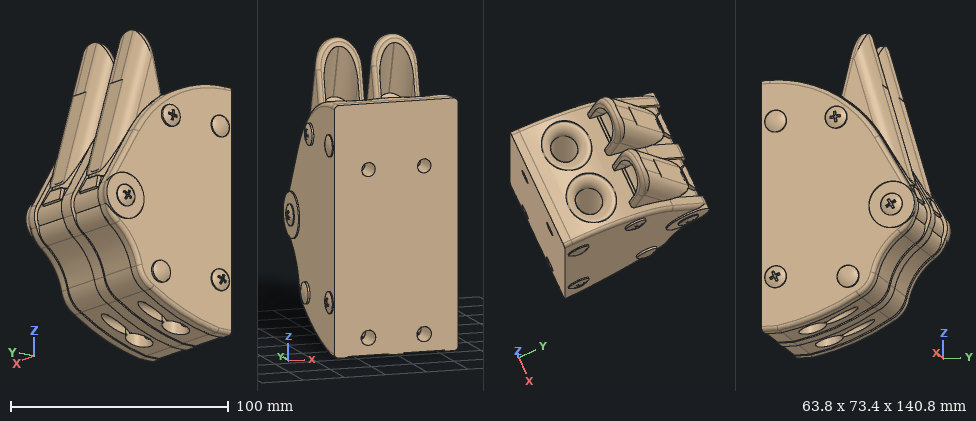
import cadquery as cq
import math

BODY_WIDTH = 60.0
TOP_ARC_RADIUS = 60.0
TOP_ARC_Y = 4.0
BODY_HEIGHT = 118.4
PIVOT_Y = 62.4
PIVOT_Z = 55.6
PIVOT_LOBE_RADIUS = 11.0
LOBE_EXIT_ANGLE = -28.0
BOTTOM_FLAT = 7.7
NECK_MID = (70.2, 46.2)
NECK_END = (66.2, 42.2)
WAIST_MID = (58.3, 34.0)
WAIST_END = (54.0, 24.0)
HEEL_MID = (51.5, 18.4)
HEEL_END = (46.2, 14.1)
BELLY_MID = (27.2, 5.1)
SIDE_DRAFT = 0.9
EDGE_RADIUS = 2.0

LANE_X = 13.5
CHANNEL_WIDTH = 19.9
CHANNEL_TOP_Y = 40.4
CHANNEL_DEPTH = 1.8
CHANNEL_LOWER_DEPTH = 0.5

LEVER_WIDTH = 22.5
LEVER_CORNER_RADIUS = 8.0
LEVER_TOP = 140.83
TIP_ARCH_HEIGHT = 14.0
LEVER_WALL = 3.1
LEVER_CROWN_WALL = 5.1
MIN_HALF_FLAT = 0.1
LEVER_DEPTH = 24.0
LEVER_TILT = 16.3
LEVER_FOOT_Y = 68.7
LEVER_FOOT_Z = 67.0
LEVER_LENGTH = 90.0
RIM_TILT = 13.8
RIM_Y = 43.15
RIM_Z = 138.3
RIM_RADIUS = 2.0
CROWN_FLAT_WIDTH = 9.2
CROWN_FLAT_TOP = 50.0
LEVER_GAP = 0.5
RAMP_START_Y = 41.8
RAMP_START_Z = 105.0
RAMP_SLOPE = 45.0
RAMP_RUN = 9.4
RAMP_SAG = 1.5
NOSE_WIDTH_UPPER = 8.0
NOSE_WIDTH_LOWER = 12.8
NOSE_TIP_Z = 60.5

MOUTH_Y = 21.4
MOUTH_DIAMETER = 24.0
MOUTH_LIP = 0.4
MOUTH_SINK = 1.2
ROPE_DIAMETER = 12.6
ROPE_Y = 19.8
MOUNT_DIAMETER = 7.0
UPPER_MOUNT_DIAMETER = 6.5
UPPER_MOUNT_Z = 87.5
LOWER_MOUNT_Z = 8.7

WASHER_DIAMETER = 21.8
HEAD_DIAMETER = 10.3
HEAD_REACH = BODY_WIDTH / 2 + 1.9
HEAD_ROOT = BODY_WIDTH / 2 - 2.5
CAP_DOME_HEIGHT = 1.4
CROSS_LENGTH = 4.85
CROSS_WIDTH = 1.0
CROSS_DEPTH = 1.2
CAP_PLACES = [(6.9, 98.4), (41.5, 23.0)]
SCREW_PLACES = [(35.8, 98.4, 8.0), (6.9, 25.0, 25.0)]
PIVOT_CROSS_ANGLE = 30.0

TOP_ARC_Z = BODY_HEIGHT - TOP_ARC_RADIUS


def polar(center_y, center_z, radius, angle):
    """Point at an angle in degrees on a circle in the YZ plane."""
    a = math.radians(angle)
    return (center_y + radius * math.cos(a), center_z + radius * math.sin(a))


def side_profile(top_inset, lobe_inset, lower_inset):
    """Housing outline in YZ, shrunk separately at the top, pivot lobe and lower side."""
    top_radius = TOP_ARC_RADIUS - top_inset
    lobe_radius = PIVOT_LOBE_RADIUS - lobe_inset
    dy = PIVOT_Y - TOP_ARC_Y
    dz = PIVOT_Z - TOP_ARC_Z
    span = math.hypot(dy, dz)
    tangent = math.degrees(math.atan2(dz, dy) + math.acos((top_radius - lobe_radius) / span))

    def top_point(angle):
        return polar(TOP_ARC_Y, TOP_ARC_Z, top_radius, angle)

    def lobe_point(angle):
        return polar(PIVOT_Y, PIVOT_Z, lobe_radius, angle)

    def lower_point(point):
        return (point[0] - lower_inset, point[1] + lower_inset)

    return (
        cq.Workplane("YZ")
        .moveTo(0, BODY_HEIGHT - top_inset)
        .lineTo(*top_point(90))
        .threePointArc(top_point((90 + tangent) / 2), top_point(tangent))
        .lineTo(*lobe_point(tangent))
        .threePointArc(lobe_point((tangent + LOBE_EXIT_ANGLE) / 2), lobe_point(LOBE_EXIT_ANGLE))
        .threePointArc(lower_point(NECK_MID), lower_point(NECK_END))
        .threePointArc(lower_point(WAIST_MID), lower_point(WAIST_END))
        .threePointArc(lower_point(HEEL_MID), lower_point(HEEL_END))
        .threePointArc(lower_point(BELLY_MID), (BOTTOM_FLAT, lower_inset))
        .lineTo(0, lower_inset)
        .close()
    )


def make_housing():
    """Drafted block with rounded edges along the whole side outline."""
    half = BODY_WIDTH / 2
    reach_y = PIVOT_Y + PIVOT_LOBE_RADIUS
    block = side_profile(0, 0, 0).extrude(half, both=True)
    drafted = (
        cq.Workplane("XY")
        .polyline([(-half, 0), (half, 0), (half - SIDE_DRAFT, reach_y), (SIDE_DRAFT - half, reach_y)])
        .close()
        .extrude(BODY_HEIGHT)
    )
    block = block.intersect(drafted)
    ahead_of_base = cq.selectors.BoxSelector(
        (-BODY_WIDTH, EDGE_RADIUS / 2, -EDGE_RADIUS),
        (BODY_WIDTH, reach_y + EDGE_RADIUS, BODY_HEIGHT + EDGE_RADIUS))
    return block.faces("<X or >X").edges(ahead_of_base).fillet(EDGE_RADIUS)


def make_channel(x):
    """Shallow recess wrapping the pivot side of the housing in one lane."""
    outer = side_profile(-LEVER_GAP, -LEVER_GAP, -LEVER_GAP).extrude(CHANNEL_WIDTH / 2, both=True)
    core = side_profile(CHANNEL_DEPTH, CHANNEL_DEPTH, CHANNEL_LOWER_DEPTH).extrude(CHANNEL_WIDTH, both=True)
    kept_top = cq.Workplane("XY").box(
        BODY_WIDTH, CHANNEL_TOP_Y, BODY_HEIGHT, centered=(True, False, False)
    ).translate((0, 0, PIVOT_Z))
    return outer.cut(core).cut(kept_top).translate((x, 0, 0))


def lever_plane():
    """Cross plane at the foot of the lever, local +Y pointing out of the crown."""
    tilt = math.radians(LEVER_TILT)
    return cq.Plane(
        origin=(0, LEVER_FOOT_Y, LEVER_FOOT_Z), xDir=(1, 0, 0),
        normal=(0, -math.sin(tilt), math.cos(tilt)))


def lever_section(width, crown_inset):
    """U section, crown up, running along the lever; extruded to the untrimmed length."""
    radius = min(LEVER_CORNER_RADIUS, width / 2 - MIN_HALF_FLAT)
    crown = cq.Workplane(lever_plane()).center(0, -crown_inset)
    half = width / 2
    flat = half - radius
    diag = radius * (1 - math.sqrt(0.5))
    return (
        crown.moveTo(-half, -LEVER_DEPTH)
        .lineTo(-half, -radius)
        .threePointArc((diag - half, -diag), (-flat, 0))
        .lineTo(flat, 0)
        .threePointArc((half - diag, -diag), (half, -radius))
        .lineTo(half, -LEVER_DEPTH)
        .close()
        .extrude(LEVER_LENGTH)
    )


def make_crown_flat():
    """Thin slice that widens the flat of the crown over the lower part of the lever."""
    overhang = (CROWN_FLAT_WIDTH - LEVER_WIDTH) / 2 + LEVER_CORNER_RADIUS
    depth = LEVER_CORNER_RADIUS - math.sqrt(LEVER_CORNER_RADIUS ** 2 - overhang ** 2)
    return (
        cq.Workplane(lever_plane())
        .rect(LEVER_WIDTH, 2 * depth)
        .extrude(CROWN_FLAT_TOP)
    )


def make_lever(x):
    """Hollow lever with a rolled rim, joined to the housing through the channel."""
    tilt = math.radians(RIM_TILT)
    rim_plane = cq.Plane(
        origin=(0, RIM_Y, RIM_Z), xDir=(1, 0, 0), normal=(0, -math.cos(tilt), math.sin(tilt)))
    beyond_rim = cq.Workplane(rim_plane).rect(4 * LEVER_WIDTH, 2 * LEVER_LENGTH).extrude(LEVER_LENGTH)
    half = LEVER_WIDTH / 2
    arch_base = PIVOT_Z
    arch = (
        cq.Workplane("XZ")
        .moveTo(half, arch_base)
        .lineTo(half, LEVER_TOP - TIP_ARCH_HEIGHT)
        .ellipseArc(half, TIP_ARCH_HEIGHT, 0, 180, startAtCurrent=True)
        .lineTo(-half, arch_base)
        .close()
        .extrude(-2 * PIVOT_Y)
    )
    clearance = side_profile(-LEVER_GAP, -LEVER_GAP, -LEVER_GAP).extrude(LEVER_WIDTH, both=True)
    lever = lever_section(LEVER_WIDTH, 0).cut(beyond_rim).intersect(arch).cut(clearance)
    rim = lever.faces(cq.selectors.NearestToPointSelector((0, RIM_Y, RIM_Z - LEVER_WIDTH / 2)))
    lever = rim.edges().fillet(RIM_RADIUS)
    lever = lever.cut(make_crown_flat())
    lever = lever.cut(lever_section(LEVER_WIDTH - 2 * LEVER_WALL, LEVER_CROWN_WALL))
    return lever.union(make_lever_root()).union(make_nose()).translate((x, 0, 0))


def make_lever_root():
    """Solid lower part of the lever, filling the channel up to a sloping end wall."""
    slope = math.radians(RAMP_SLOPE)
    rise = RAMP_RUN * math.tan(slope)
    end_y = RAMP_START_Y + RAMP_RUN
    sag_point = (
        RAMP_START_Y + RAMP_RUN / 2 + RAMP_SAG * math.sin(slope),
        RAMP_START_Z + rise / 2 - RAMP_SAG * math.cos(slope),
    )
    ramp = (
        cq.Workplane("YZ")
        .moveTo(RAMP_START_Y, PIVOT_Z)
        .lineTo(RAMP_START_Y, RAMP_START_Z)
        .threePointArc(sag_point, (end_y, RAMP_START_Z + rise))
        .lineTo(LEVER_FOOT_Y, RAMP_START_Z + rise)
        .lineTo(LEVER_FOOT_Y, PIVOT_Z)
        .close()
        .extrude(CHANNEL_WIDTH / 2, both=True)
    )
    return ramp.intersect(lever_section(CHANNEL_WIDTH - 2 * LEVER_GAP, LEVER_GAP))


def make_nose():
    """Tapered nose joining the foot of the crown to the pivot barrel."""
    barrel_y = PIVOT_Y + PIVOT_LOBE_RADIUS - CHANNEL_DEPTH
    side = (
        cq.Workplane("YZ")
        .polyline([(LEVER_FOOT_Y, LEVER_FOOT_Z), (barrel_y, NOSE_TIP_Z),
                   (PIVOT_Y, PIVOT_Z), (PIVOT_Y, LEVER_FOOT_Z)])
        .close()
        .extrude(CHANNEL_WIDTH / 2, both=True)
    )
    upper = NOSE_WIDTH_UPPER / 2
    lower = NOSE_WIDTH_LOWER / 2
    face = (
        cq.Workplane("XZ")
        .polyline([(-upper, LEVER_FOOT_Z), (upper, LEVER_FOOT_Z), (lower, NOSE_TIP_Z),
                   (lower, PIVOT_Z), (-lower, PIVOT_Z), (-lower, NOSE_TIP_Z)])
        .close()
        .extrude(-2 * PIVOT_Y)
    )
    return side.intersect(face)


def make_rope_entry(x):
    """Bell mouth square to the top arc, running into a vertical rope bore."""
    lean = math.asin((MOUTH_Y - TOP_ARC_Y) / TOP_ARC_RADIUS)
    lip_radius = TOP_ARC_RADIUS - MOUTH_SINK
    rim = MOUTH_DIAMETER / 2
    edge = rim - MOUTH_LIP
    throat = ROPE_DIAMETER / 2
    bell = edge - throat
    curve = bell * (1 - math.sqrt(0.5))
    mouth = (
        cq.Workplane("XY")
        .moveTo(0, 2 * MOUTH_SINK)
        .lineTo(rim, 2 * MOUTH_SINK)
        .lineTo(rim, 0)
        .lineTo(edge, 0)
        .threePointArc((throat + curve, -curve), (throat, -bell))
        .lineTo(0, -bell)
        .close()
        .revolve(360, (0, 0, 0), (0, 1, 0))
        .rotate((0, 0, 0), (1, 0, 0), 90 - math.degrees(lean))
        .translate((x, TOP_ARC_Y + lip_radius * math.sin(lean), TOP_ARC_Z + lip_radius * math.cos(lean)))
    )
    bore_top = BODY_HEIGHT - MOUTH_SINK - bell
    bore = cq.Workplane("XY").center(x, ROPE_Y).circle(throat).extrude(bore_top)
    return mouth.union(bore)


def make_mount_holes(x):
    """Upper hole stops in the rope bore; the lower one runs right through."""
    upper = cq.Workplane("XZ").center(x, UPPER_MOUNT_Z).circle(UPPER_MOUNT_DIAMETER / 2).extrude(-ROPE_Y)
    lower = cq.Workplane("XZ").center(x, LOWER_MOUNT_Z).circle(MOUNT_DIAMETER / 2).extrude(-PIVOT_Y)
    return upper.union(lower)


def make_head(y, z):
    """Low domed head on the -X side, rooted inside the housing wall."""
    radius = HEAD_DIAMETER / 2
    shoulder = HEAD_REACH - CAP_DOME_HEIGHT
    sphere_radius = (radius ** 2 + CAP_DOME_HEIGHT ** 2) / (2 * CAP_DOME_HEIGHT)
    half_angle = math.asin(radius / sphere_radius) / 2
    mid = (
        sphere_radius * math.sin(half_angle),
        HEAD_REACH - sphere_radius * (1 - math.cos(half_angle)),
    )
    return (
        cq.Workplane("XY")
        .moveTo(0, HEAD_ROOT)
        .lineTo(radius, HEAD_ROOT)
        .lineTo(radius, shoulder)
        .threePointArc(mid, (0, HEAD_REACH))
        .close()
        .revolve(360, (0, 0, 0), (0, 1, 0))
        .rotate((0, 0, 0), (0, 0, 1), 90)
        .translate((0, y, z))
    )


def make_screw(y, z, cross_angle):
    """Domed head with a cross recess."""
    cross = (
        cq.Workplane("YZ")
        .rect(CROSS_LENGTH, CROSS_WIDTH)
        .extrude(CROSS_DEPTH)
        .union(cq.Workplane("YZ").rect(CROSS_WIDTH, CROSS_LENGTH).extrude(CROSS_DEPTH))
        .rotate((0, 0, 0), (1, 0, 0), cross_angle)
        .translate((-HEAD_REACH, y, z))
    )
    return make_head(y, z).cut(cross)


def make_fasteners():
    """Caps, screws and the pivot washer of the -X side."""
    washer = (
        cq.Workplane("YZ")
        .center(PIVOT_Y, PIVOT_Z)
        .circle(WASHER_DIAMETER / 2)
        .extrude(HEAD_ROOT - BODY_WIDTH / 2)
        .translate((-HEAD_ROOT, 0, 0))
    )
    parts = washer.union(make_screw(PIVOT_Y, PIVOT_Z, PIVOT_CROSS_ANGLE))
    for y, z in CAP_PLACES:
        parts = parts.union(make_head(y, z))
    for y, z, angle in SCREW_PLACES:
        parts = parts.union(make_screw(y, z, angle))
    return parts


result = make_housing()
for lane_x in (-LANE_X, LANE_X):
    result = result.cut(make_channel(lane_x))
    result = result.union(make_lever(lane_x))
    result = result.cut(make_rope_entry(lane_x))
    result = result.cut(make_mount_holes(lane_x))
fasteners = make_fasteners()
result = result.union(fasteners).union(fasteners.mirror("YZ"))